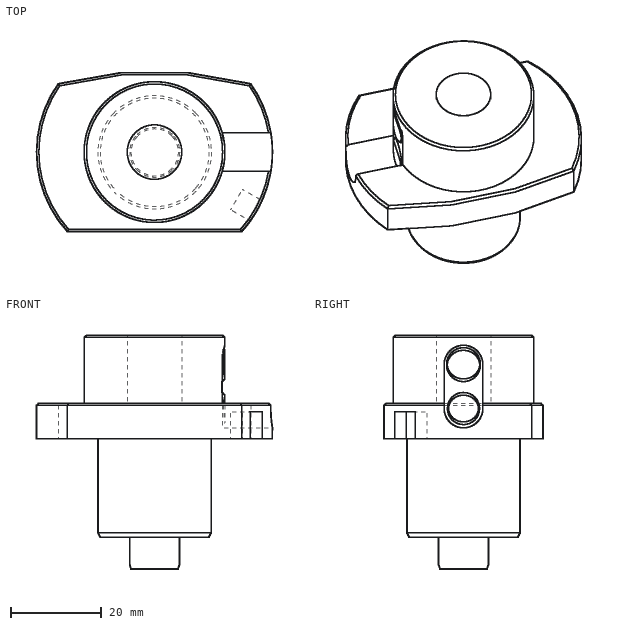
import cadquery as cq
import math

flange_radius = 26.0
flange_half_depth = 17.5
flange_height = 7.9
top_flat_half_width = 7.25
shoulder_angle = math.radians(10)
edge_chamfer = 0.5

head_diameter = 31.0
head_radius = head_diameter / 2
head_top = 22.85
bore_diameter = 12.0
bore_depth = head_top - flange_height

body_diameter = 25.0
body_length = 21.65
body_chamfer_height = 1.05
body_chamfer_inset = 0.5
pin_diameter = 11.0
pin_length = 6.95
pin_chamfer_height = 1.0
pin_chamfer_inset = 0.3

channel_radius = 4.25
channel_center_z = 6.7
recess_center_z = 16.35
recess_floor_x = 14.9
plug_radius = 3.75
lower_pad_radius = 3.55
plug_taper = 45

slot_angle = -30
slot_width = 5.2
slot_depth = 5.2
slot_height = 6.0


def make_flange():
    straight_x = math.sqrt(flange_radius**2 - flange_half_depth**2)
    shoulder_distance = (
        flange_half_depth * math.cos(shoulder_angle)
        + top_flat_half_width * math.sin(shoulder_angle)
    )
    corner_angle = math.pi / 2 - shoulder_angle - math.acos(shoulder_distance / flange_radius)
    corner_x = flange_radius * math.cos(corner_angle)
    corner_y = flange_radius * math.sin(corner_angle)
    return (
        cq.Workplane("XY")
        .moveTo(-straight_x, -flange_half_depth)
        .lineTo(straight_x, -flange_half_depth)
        .threePointArc((flange_radius, 0), (corner_x, corner_y))
        .lineTo(top_flat_half_width, flange_half_depth)
        .lineTo(-top_flat_half_width, flange_half_depth)
        .lineTo(-corner_x, corner_y)
        .threePointArc((-flange_radius, 0), (-straight_x, -flange_half_depth))
        .close()
        .extrude(flange_height)
        .faces(">Z")
        .chamfer(edge_chamfer)
    )


def make_head():
    return (
        cq.Workplane("XY")
        .circle(head_radius)
        .extrude(head_top)
        .faces(">Z")
        .chamfer(edge_chamfer)
    )


def make_stud(diameter, bottom_z, chamfer_height, chamfer_inset):
    """Round stud from the flange underside down to bottom_z, with a tapered end."""
    radius = diameter / 2
    return (
        cq.Workplane("XZ")
        .moveTo(0, 0)
        .lineTo(radius, 0)
        .lineTo(radius, bottom_z + chamfer_height)
        .lineTo(radius - chamfer_inset, bottom_z)
        .lineTo(0, bottom_z)
        .close()
        .revolve(360, (0, 0, 0), (0, 1, 0))
    )


def cylinder_along_x(radius, center_z, start_x, end_x):
    return (
        cq.Workplane("YZ", origin=(start_x, 0, center_z))
        .circle(radius)
        .extrude(end_x - start_x)
    )


def make_recess_cutter():
    """Round-ended upright cutter that leaves a tapered plug and pad standing in the head."""
    length = flange_radius - recess_floor_x
    span = recess_center_z - channel_center_z
    middle = (
        cq.Workplane("YZ", origin=(recess_floor_x, 0, channel_center_z + span / 2))
        .rect(2 * channel_radius, span)
        .extrude(length)
    )
    cutter = middle
    for center_z in (channel_center_z, recess_center_z):
        cutter = cutter.union(
            cylinder_along_x(channel_radius, center_z, recess_floor_x, flange_radius)
        )
    head_cylinder = cq.Workplane("XY").circle(head_radius).extrude(head_top)
    for radius, center_z in ((lower_pad_radius, channel_center_z), (plug_radius, recess_center_z)):
        standing = (
            cq.Workplane("YZ", origin=(recess_floor_x, 0, center_z))
            .circle(radius)
            .extrude(head_radius - recess_floor_x, taper=plug_taper)
        )
        cutter = cutter.cut(standing.intersect(head_cylinder))
    return cutter


def make_slot_cutter():
    return (
        cq.Workplane("XY")
        .center(flange_radius, 0)
        .rect(2 * slot_depth, slot_width)
        .extrude(slot_height)
        .rotate((0, 0, 0), (0, 0, 1), slot_angle)
    )


body = make_stud(body_diameter, -body_length, body_chamfer_height, body_chamfer_inset)
pin = make_stud(pin_diameter, -body_length - pin_length, pin_chamfer_height, pin_chamfer_inset)
bore = (
    cq.Workplane("XY", origin=(0, 0, head_top - bore_depth))
    .circle(bore_diameter / 2)
    .extrude(bore_depth)
)

result = (
    make_flange()
    .union(make_head())
    .union(body)
    .union(pin)
    .cut(bore)
    .cut(make_recess_cutter())
    .cut(make_slot_cutter())
)